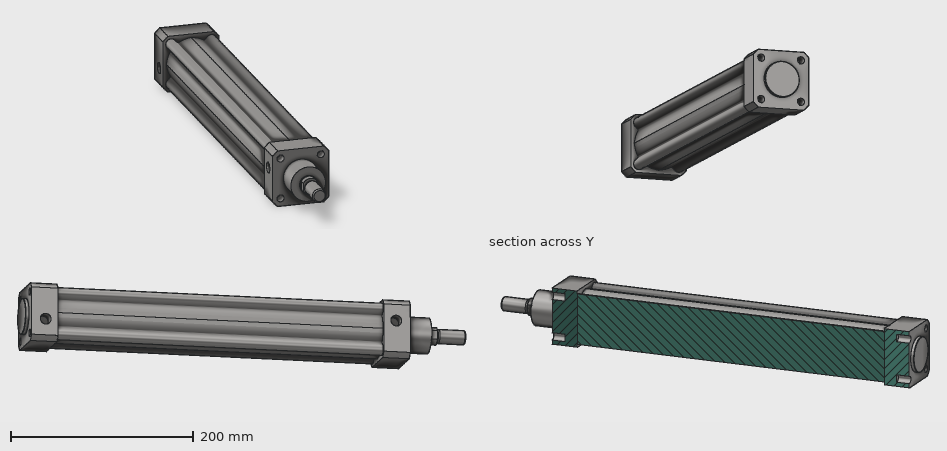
import cadquery as cq
import math

overall_length = 499.0
spigot_length = 4.0
spigot_chamfer = 0.5
cap_length = 30.0
tube_length = 367.0
boss_length = 27.0

cap_side = 65.0
cap_turned_diameter = 84.0
collar_diameter = 40.0
mount_pitch = 46.5
mount_hole_diameter = 8.0
mount_hole_depth = 15.0
port_diameter = 12.0
port_offset = 8.5
port_from_tube = 14.0
port_depth = 15.0

barrel_radius = 28.0
lobe_radius = 6.0
neck_fillet = 1.5
ridge_width = 10.5

rod_diameter = 20.0
shoulder_length = 1.5
wrench_diameter = 19.5
wrench_length = 7.5
flats_width = 17.0
flats_length = 6.5
undercut_diameter = 13.0
undercut_length = 1.5
thread_diameter = 16.0
thread_chamfer = 1.5

rear_cap_start = spigot_length
tube_start = rear_cap_start + cap_length
front_cap_start = tube_start + tube_length
front_cap_end = front_cap_start + cap_length
rod_start = front_cap_end + boss_length


def section_plane(x):
    """Plane across the cylinder axis at x, with local axes along Y and Z."""
    return cq.Workplane("YZ", origin=(x, 0, 0))


def polar(radius, angle):
    """Y and Z of a point at a radius and angle about the cylinder axis."""
    return radius * math.cos(angle), radius * math.sin(angle)


def bar(x, diameter, length):
    """Round bar on the cylinder axis, starting at x."""
    return section_plane(x).circle(diameter / 2).extrude(length)


def cap_block(start):
    """Square block whose corners are turned down on the cylinder axis."""
    block = section_plane(start).rect(cap_side, cap_side).extrude(cap_length)
    return block.intersect(bar(start, cap_turned_diameter, cap_length))


def mount_holes(outer_face, inward):
    """Four blind corner holes, cut from the outer face in the inward X direction."""
    return (
        section_plane(outer_face)
        .rect(mount_pitch, mount_pitch, forConstruction=True)
        .vertices()
        .circle(mount_hole_diameter / 2)
        .extrude(inward * mount_hole_depth)
    )


def port(x, z):
    """Blind air port in the -Y side."""
    return (
        cq.Workplane("XZ", origin=(x, -cap_side / 2, z))
        .circle(port_diameter / 2)
        .extrude(-port_depth)
    )


def make_rear_cap():
    """Rear block with a short centring spigot."""
    spigot = bar(0, collar_diameter, spigot_length).faces("<X").chamfer(spigot_chamfer)
    cap = cap_block(rear_cap_start).union(spigot)
    cap = cap.cut(mount_holes(rear_cap_start, 1))
    return cap.cut(port(tube_start - port_from_tube, -port_offset))


def make_front_cap():
    """Front block with the rod boss."""
    cap = cap_block(front_cap_start).union(bar(front_cap_end, collar_diameter, boss_length))
    cap = cap.cut(mount_holes(front_cap_end, -1))
    return cap.cut(port(front_cap_start + port_from_tube, port_offset))


def make_tube():
    """Round barrel with four blunt ridges, and four corner lobes on diagonal necks."""
    tube = bar(tube_start, 2 * barrel_radius, tube_length)

    lobe_reach = mount_pitch / math.sqrt(2) + lobe_radius
    for angle in (45, -45):
        diagonal = section_plane(tube_start).slot2D(2 * lobe_reach, 2 * lobe_radius, angle)
        tube = tube.union(diagonal.extrude(tube_length))

    root_half_angle = math.asin(lobe_radius / barrel_radius)
    for quarter in range(4):
        diagonal_angle = math.radians(45 + 90 * quarter)
        for side in (-1, 1):
            root_angle = diagonal_angle + side * root_half_angle
            root_point = (tube_start + tube_length / 2, *polar(barrel_radius, root_angle))
            tube = tube.edges(cq.selectors.NearestToPointSelector(root_point)).fillet(neck_fillet)

    ridge_half_angle = math.asin(ridge_width / 2 / barrel_radius)
    ridge = (
        section_plane(tube_start)
        .polyline(
            [
                (0, 0),
                polar(barrel_radius, -ridge_half_angle),
                polar(barrel_radius / math.cos(ridge_half_angle), 0),
                polar(barrel_radius, ridge_half_angle),
            ]
        )
        .close()
        .extrude(tube_length)
    )
    for quarter in range(4):
        tube = tube.union(ridge.rotate((0, 0, 0), (1, 0, 0), 90 * quarter))
    return tube


def make_rod():
    """Rod end with a shoulder, a wrench section, an undercut and a thread stub."""
    wrench_start = rod_start + shoulder_length
    undercut_start = wrench_start + wrench_length
    flats_start = undercut_start - flats_length
    thread_start = undercut_start + undercut_length

    rod = bar(rod_start, rod_diameter, shoulder_length)
    rod = rod.union(bar(wrench_start, wrench_diameter, wrench_length))

    flats_band = section_plane(flats_start).rect(flats_width, rod_diameter).extrude(flats_length)
    rod = rod.cut(bar(flats_start, rod_diameter, flats_length).cut(flats_band))

    rod = rod.union(bar(undercut_start, undercut_diameter, undercut_length))
    thread = bar(thread_start, thread_diameter, overall_length - thread_start)
    thread = thread.faces("<X or >X").chamfer(thread_chamfer)
    return rod.union(thread)


rear_cap = make_rear_cap()
tube = make_tube()
front_cap = make_front_cap()
rod = make_rod()

result = cq.Compound.makeCompound([rear_cap.val(), tube.val(), front_cap.val(), rod.val()])